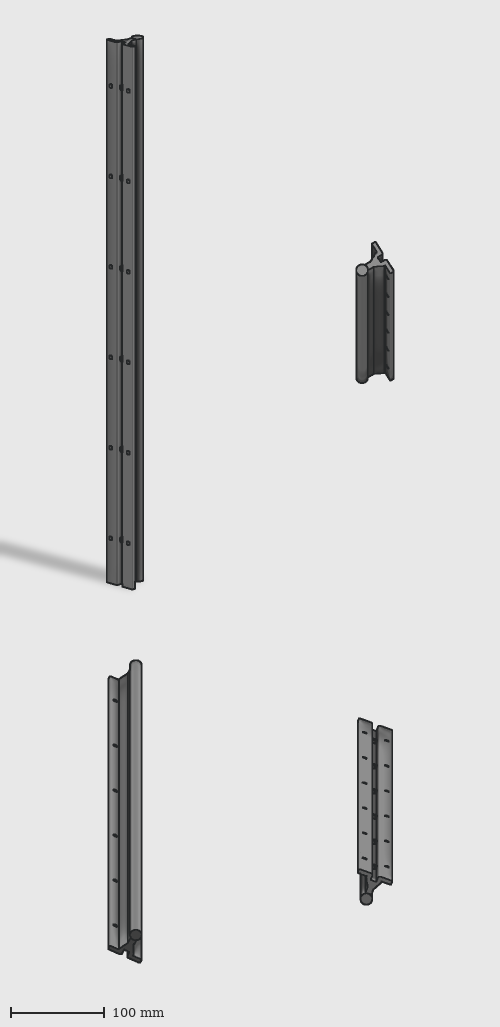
import cadquery as cq


LENGTH = 609.6
HALF_LENGTH = LENGTH / 2

SHAFT_DIAMETER = 12.7
SHAFT_RADIUS = SHAFT_DIAMETER / 2
SHAFT_CENTER_Y = 28.575

BASE_WIDTH = 38.1
BASE_THICKNESS = 4.7625
BASE_EDGE_RADIUS = 0.8
NECK_WIDTH = 6.8
NECK_FOOT_Y = 16.0
FOOT_WIDTH = 17.0
FOOT_TOP_Y = 6.0

GROOVE_WIDTH = 6.35
GROOVE_DEPTH = 7.0
GROOVE_RIM_RADIUS = 2.2

STATION_COUNT = 6
STATION_PITCH = 101.6
STATION_HEIGHTS = [(i - (STATION_COUNT - 1) / 2) * STATION_PITCH for i in range(STATION_COUNT)]
MOUNT_HOLE_SPACING = 25.4
MOUNT_HOLE_DIAMETER = 4.3

SCREW_DIAMETER = 3.5
SCREW_HEAD_DIAMETER = 5.74
SCREW_HEAD_HEIGHT = 3.5
SCREW_HEAD_FACE_Y = GROOVE_DEPTH - SCREW_HEAD_HEIGHT
SCREW_TIP_Y = SHAFT_CENTER_Y
SOCKET_SIZE = 2.78
SOCKET_DEPTH = 1.6


def cylinder_along_y(diameter, x, z, start_y, end_y):
    """Cylinder with its axis along Y, from start_y to end_y."""
    start = cq.Vector(x, start_y, z)
    direction = cq.Vector(0, 1, 0)
    return cq.Workplane(cq.Solid.makeCylinder(diameter / 2, end_y - start_y, start, direction))


def shaft_cylinder():
    """Plain full-length shaft, also the shape of its seat in the rail."""
    return cq.Workplane("XY", origin=(0, SHAFT_CENTER_Y, -HALF_LENGTH)).circle(SHAFT_RADIUS).extrude(LENGTH)


def screw_shank(z):
    """Shank of one screw, also the shape of its hole in the rail and the shaft."""
    return cylinder_along_y(SCREW_DIAMETER, 0, z, GROOVE_DEPTH, SCREW_TIP_Y)


def make_shaft():
    shaft = shaft_cylinder()
    for z in STATION_HEIGHTS:
        shaft = shaft.cut(screw_shank(z))
    return shaft


def rail_blank():
    """Extruded rail with its groove, before the shaft seat and the holes."""
    right_half = [
        (GROOVE_WIDTH / 2, GROOVE_DEPTH),
        (GROOVE_WIDTH / 2, 0),
        (BASE_WIDTH / 2, 0),
        (BASE_WIDTH / 2, BASE_THICKNESS),
        (FOOT_WIDTH / 2, BASE_THICKNESS),
        (FOOT_WIDTH / 2, FOOT_TOP_Y),
        (NECK_WIDTH / 2, NECK_FOOT_Y),
        (NECK_WIDTH / 2, SHAFT_CENTER_Y),
    ]
    left_half = [(-x, y) for x, y in reversed(right_half)]
    blank = (
        cq.Workplane("XY", origin=(0, 0, -HALF_LENGTH))
        .polyline(right_half + left_half)
        .close()
        .extrude(LENGTH)
    )
    blank = blank.faces("<X or >X").edges("|Z").fillet(BASE_EDGE_RADIUS)
    left_rim = cq.selectors.NearestToPointSelector((-GROOVE_WIDTH / 2, 0, 0))
    right_rim = cq.selectors.NearestToPointSelector((GROOVE_WIDTH / 2, 0, 0))
    return blank.edges(left_rim + right_rim).fillet(GROOVE_RIM_RADIUS)


def make_rail():
    rail = rail_blank().cut(shaft_cylinder())
    for z in STATION_HEIGHTS:
        rail = rail.cut(screw_shank(z))
        for x in (-MOUNT_HOLE_SPACING / 2, MOUNT_HOLE_SPACING / 2):
            rail = rail.cut(cylinder_along_y(MOUNT_HOLE_DIAMETER, x, z, 0, BASE_THICKNESS))
    return rail


def make_screw(z):
    head = cylinder_along_y(SCREW_HEAD_DIAMETER, 0, z, SCREW_HEAD_FACE_Y, GROOVE_DEPTH)
    socket = (
        cq.Workplane("XZ", origin=(0, SCREW_HEAD_FACE_Y, z))
        .polygon(6, SOCKET_SIZE, circumscribed=True)
        .extrude(-SOCKET_DEPTH)
    )
    return head.cut(socket).union(screw_shank(z))


shaft = make_shaft()
rail = make_rail()
screws = [make_screw(z).solids().val() for z in STATION_HEIGHTS]

result = cq.Compound.makeCompound([shaft.solids().val(), rail.solids().val(), *screws])